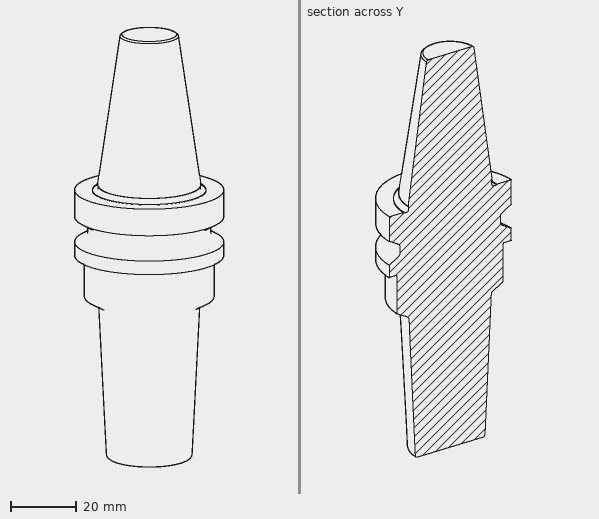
import cadquery as cq

TOTAL_LENGTH = 134.4

NOSE_BOTTOM_RADIUS = 13.2
NOSE_TOP_RADIUS = 15.6
NOSE_TOP_Z = 48.5
NOSE_EDGE_RADIUS = 1.0

COLLAR_RADIUS = 20.0
COLLAR_BOTTOM_Z = 51.0
COLLAR_EDGE_RADIUS = 0.7
SHOULDER_FILLET = 1.1
FLANGE_ROOT_FILLET = 0.4

FLANGE_RADIUS = 23.0
FLANGE_BOTTOM_Z = 64.1
FLANGE_TOP_Z = 85.0
GROOVE_FLOOR_RADIUS = 19.0
GROOVE_BOTTOM_Z = 68.4
GROOVE_TOP_Z = 76.5
GROOVE_CORNER_FILLET = 1.0
GROOVE_WALL_HEIGHT = (FLANGE_RADIUS - GROOVE_FLOOR_RADIUS) * 3**0.5 / 3

RECESS_RADIUS = 17.5
RECESS_DEPTH = 0.3
RECESS_FLOOR_Z = FLANGE_TOP_Z - RECESS_DEPTH

TAPER_BASE_RADIUS = 15.9
TAPER_BASE_Z = 87.0
TAPER_BASE_BAND_HEIGHT = 0.5
NECK_RADIUS = 15.7
NECK_TOP_Z = TAPER_BASE_Z - TAPER_BASE_BAND_HEIGHT
NECK_FILLET = 0.7
TAPER_SLOPE = 7 / 24 / 2
TAPER_TOP_RADIUS = TAPER_BASE_RADIUS - (TOTAL_LENGTH - TAPER_BASE_Z) * TAPER_SLOPE
TAPER_TOP_CHAMFER = 0.5

profile = (
    cq.Workplane("XZ")
    .moveTo(0, 0)
    .lineTo(NOSE_BOTTOM_RADIUS, 0)
    .lineTo(NOSE_TOP_RADIUS, NOSE_TOP_Z)
    .lineTo(COLLAR_RADIUS, COLLAR_BOTTOM_Z)
    .lineTo(COLLAR_RADIUS, FLANGE_BOTTOM_Z)
    .lineTo(FLANGE_RADIUS, FLANGE_BOTTOM_Z)
    .lineTo(FLANGE_RADIUS, GROOVE_BOTTOM_Z)
    .lineTo(GROOVE_FLOOR_RADIUS, GROOVE_BOTTOM_Z + GROOVE_WALL_HEIGHT)
    .lineTo(GROOVE_FLOOR_RADIUS, GROOVE_TOP_Z - GROOVE_WALL_HEIGHT)
    .lineTo(FLANGE_RADIUS, GROOVE_TOP_Z)
    .lineTo(FLANGE_RADIUS, FLANGE_TOP_Z)
    .lineTo(RECESS_RADIUS, FLANGE_TOP_Z)
    .lineTo(RECESS_RADIUS, RECESS_FLOOR_Z)
    .lineTo(NECK_RADIUS, RECESS_FLOOR_Z)
    .lineTo(NECK_RADIUS, NECK_TOP_Z)
    .lineTo(TAPER_BASE_RADIUS, NECK_TOP_Z)
    .lineTo(TAPER_BASE_RADIUS, TAPER_BASE_Z)
    .lineTo(TAPER_TOP_RADIUS, TOTAL_LENGTH)
    .lineTo(0, TOTAL_LENGTH)
    .close()
)


def round_edge(body, radius, height, fillet_radius):
    """Fillet the circular edge of the given radius that lies at the given height."""
    margin = 0.01
    edge_zone = cq.selectors.BoxSelector(
        (-radius - margin, -radius - margin, height - margin),
        (radius + margin, radius + margin, height + margin),
        boundingbox=True,
    )
    edge = body.edges(edge_zone).edges(cq.selectors.RadiusNthSelector(-1))
    return edge.fillet(fillet_radius)


holder = profile.revolve(360, (0, 0, 0), (0, 1, 0))

for edge_radius, edge_z, fillet_radius in (
    (NOSE_BOTTOM_RADIUS, 0, NOSE_EDGE_RADIUS),
    (NOSE_TOP_RADIUS, NOSE_TOP_Z, SHOULDER_FILLET),
    (COLLAR_RADIUS, COLLAR_BOTTOM_Z, COLLAR_EDGE_RADIUS),
    (COLLAR_RADIUS, FLANGE_BOTTOM_Z, FLANGE_ROOT_FILLET),
    (GROOVE_FLOOR_RADIUS, GROOVE_BOTTOM_Z + GROOVE_WALL_HEIGHT, GROOVE_CORNER_FILLET),
    (GROOVE_FLOOR_RADIUS, GROOVE_TOP_Z - GROOVE_WALL_HEIGHT, GROOVE_CORNER_FILLET),
    (NECK_RADIUS, RECESS_FLOOR_Z, NECK_FILLET),
):
    holder = round_edge(holder, edge_radius, edge_z, fillet_radius)

result = holder.faces(">Z").edges().chamfer(TAPER_TOP_CHAMFER)